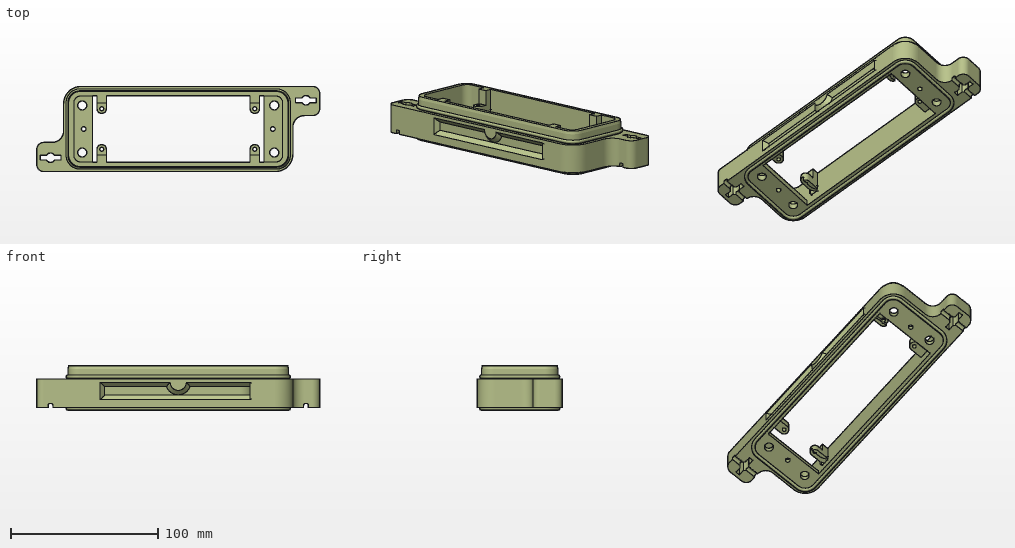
import cadquery as cq
import math

height = 30.25
body_length, body_width, body_radius = 156.0, 58.0, 12.0
body_bottom, body_top = 1.75, 21.25

rim_length, rim_width, rim_radius = 150.0, 52.0, 8.25
rim_taper_inset, rim_taper_height = 0.5, 2.25

bead_radius = 1.25
upper_bead_z = 22.75
lower_bead_z = bead_radius

cavity_length, cavity_width, cavity_radius = 142.0, 45.0, 5.0

ear_end = 96.25
ear_width = 20.0
ear_corner_radius = 5.0
ear_root_radius = 7.5
keyhole_x, keyhole_y = 86.75, 19.5
slot_length, slot_width, keyhole_diameter = 14.0, 3.0, 6.25
notch_width, notch_height, notch_corner_radius = 3.0, 2.75, 1.0

shelf_edge_x = 58.25
shelf_top = 7.0
bolt_x, bolt_y, bolt_diameter = 65.25, 16.0, 6.0
pin_x, pin_diameter = 64.25, 3.0

post_x, post_width, post_depth = 52.0, 6.5, 4.75
post_bottom, boss_top = 12.0, 20.0
boss_hole_reach, boss_hole_diameter = 8.75, 2.5

recess_left, recess_right = -53.0, 48.75
recess_bottom, recess_top = 7.25, 19.0
recess_depth = 3.0
bevel_angle = 45
tab_radius = 5.5

bend_start_x = 42.0
bend_inner_radius = 9.25

wall_y = cavity_width / 2
face_y = -body_width / 2
floor_y = face_y + recess_depth
bend_center_y = floor_y + bend_inner_radius
bend_outer_radius = math.hypot(recess_right - bend_start_x, bend_center_y - face_y)
quadrants = [(-1, -1), (-1, 1), (1, -1), (1, 1)]


def rounded_block(length, width, radius, z_low, z_high, taper_inset=0.0):
    """Rounded block on the frame axis, its top drawn in by taper_inset."""
    rise = z_high - z_low
    outline = cq.Sketch().rect(length, width).vertices().fillet(radius)
    taper = math.degrees(math.atan2(taper_inset, rise))
    return cq.Workplane("XY", origin=(0, 0, z_low)).placeSketch(outline).extrude(rise, taper=taper)


def half_turn(shape):
    """The same shape turned half way round the vertical axis."""
    return shape.rotate((0, 0, 0), (0, 0, 1), 180)


def bead(z):
    """Round bead whose centre line is the rim outline at height z."""
    rim_block = rounded_block(rim_length, rim_width, rim_radius, z, z + bead_radius)
    center_line = rim_block.faces("<Z").wires()
    section = cq.Workplane("YZ", origin=(0, -rim_width / 2, z)).circle(bead_radius)
    return section.sweep(center_line)


def ear():
    """Mounting ear at the -X -Y corner, with a concave root against the body."""
    inner_y = face_y + ear_width
    body_side = -body_length / 2
    inside_x = body_side + body_radius
    root_x = body_side - ear_root_radius
    root_y = inner_y + ear_root_radius
    root_reach = ear_root_radius * math.sqrt(0.5)
    corner_gap = ear_corner_radius * (1 - math.sqrt(0.5))
    return (
        cq.Workplane("XY", origin=(0, 0, body_bottom))
        .moveTo(inside_x, face_y)
        .lineTo(-ear_end + ear_corner_radius, face_y)
        .threePointArc((-ear_end + corner_gap, face_y + corner_gap),
                       (-ear_end, face_y + ear_corner_radius))
        .lineTo(-ear_end, inner_y - ear_corner_radius)
        .threePointArc((-ear_end + corner_gap, inner_y - corner_gap),
                       (-ear_end + ear_corner_radius, inner_y))
        .lineTo(root_x, inner_y)
        .threePointArc((root_x + root_reach, root_y - root_reach), (body_side, root_y))
        .lineTo(inside_x, root_y)
        .close()
        .extrude(body_top - body_bottom)
    )


def ear_cuts():
    """Keyhole through the -X ear and the round-cornered notch across its underside."""
    keyhole = cq.Workplane("XY", origin=(-keyhole_x, -keyhole_y, 0))
    slot = keyhole.rect(slot_length, slot_width).extrude(height)
    eye = keyhole.circle(keyhole_diameter / 2).extrude(height)
    notch = (
        cq.Workplane("XY", origin=(-keyhole_x, face_y / 2, body_bottom))
        .box(notch_width, -face_y, notch_height, centered=(True, True, False))
        .edges("|Y and >Z").fillet(notch_corner_radius)
    )
    return slot.union(eye).union(notch)


def frame():
    """Body with its ears, rim and sealing beads, hollowed by the cavity."""
    shoulder_z = height - rim_taper_height
    body = rounded_block(body_length, body_width, body_radius, body_bottom, body_top)
    rim = rounded_block(rim_length, rim_width, rim_radius, body_top, shoulder_z)
    rim_lead_in = rounded_block(rim_length, rim_width, rim_radius, shoulder_z, height, rim_taper_inset)
    solid = body.union(ear()).union(half_turn(ear())).union(rim).union(rim_lead_in)
    solid = solid.union(bead(upper_bead_z)).union(bead(lower_bead_z))
    return solid.cut(rounded_block(cavity_length, cavity_width, cavity_radius, 0, height))


def shelves():
    """Drilled shelves across both ends of the cavity, level with the body underside."""
    bolts = [(side_x * bolt_x, side_y * bolt_y) for side_x, side_y in quadrants]
    pins = [(-pin_x, 0), (pin_x, 0)]
    floor = rounded_block(cavity_length, cavity_width, cavity_radius, body_bottom, shelf_top)
    opening = cq.Workplane("XY").rect(2 * shelf_edge_x, cavity_width).extrude(height)
    bolt_holes = cq.Workplane("XY").pushPoints(bolts).circle(bolt_diameter / 2).extrude(height)
    pin_holes = cq.Workplane("XY").pushPoints(pins).circle(pin_diameter / 2).extrude(height)
    return floor.cut(opening).cut(bolt_holes).cut(pin_holes)


def post(side_x, side_y):
    """Post on a long wall with a lower, round-ended, drilled boss in front."""
    base = cq.Workplane("XY", origin=(side_x * post_x, side_y * wall_y, post_bottom))
    boss_height = boss_top - post_bottom
    upright = base.center(0, -side_y * post_depth / 2).rect(post_width, post_depth)
    upright = upright.extrude(height - post_bottom)
    boss = base.center(0, -side_y * boss_hole_reach / 2).rect(post_width, boss_hole_reach)
    boss = boss.extrude(boss_height)
    tip = base.center(0, -side_y * boss_hole_reach)
    round_end = tip.circle(post_width / 2).extrude(boss_height)
    hole = tip.circle(boss_hole_diameter / 2).extrude(boss_height)
    return upright.union(boss).union(round_end).cut(hole)


def recess():
    """Recess in the -Y face with bevelled edges around a conical half-round tab."""
    pocket_right = bend_start_x + bend_outer_radius
    center = ((recess_left + pocket_right) / 2, face_y, (recess_bottom + recess_top) / 2)
    pocket = (
        cq.Workplane("XZ", origin=center)
        .rect(pocket_right - recess_left, recess_top - recess_bottom)
        .extrude(-recess_depth, taper=bevel_angle)
    )
    bend_disc = cq.Workplane("XY", origin=(bend_start_x, bend_center_y, 0))
    bend_disc = bend_disc.circle(bend_outer_radius).extrude(height)
    beyond_bend = (
        cq.Workplane("XY", origin=(bend_start_x, face_y, 0))
        .box(bend_outer_radius, recess_depth, height, centered=False)
        .cut(bend_disc)
    )
    tab = (
        cq.Workplane("XZ", origin=(0, face_y, recess_top))
        .circle(tab_radius).extrude(-recess_depth, taper=-bevel_angle)
    )
    return pocket.cut(beyond_bend).cut(tab)


def cable_bend():
    """Passage curving from the right end of the recess floor through the wall, past the post."""
    z_low = recess_bottom + recess_depth
    z_high = recess_top - recess_depth
    exit_y = -wall_y + boss_hole_reach + post_width / 2
    inner_x = bend_start_x + bend_inner_radius
    outer_x = bend_start_x + bend_outer_radius
    inner_reach = bend_inner_radius * math.sqrt(0.5)
    start_angle = math.atan2(face_y - bend_center_y, recess_right - bend_start_x)
    outer_middle = (bend_start_x + bend_outer_radius * math.cos(start_angle / 2),
                    bend_center_y + bend_outer_radius * math.sin(start_angle / 2))
    return (
        cq.Workplane("XY", origin=(0, 0, z_low))
        .moveTo(bend_start_x, floor_y)
        .threePointArc((bend_start_x + inner_reach, bend_center_y - inner_reach), (inner_x, bend_center_y))
        .lineTo(inner_x, exit_y)
        .lineTo(outer_x, exit_y)
        .lineTo(outer_x, bend_center_y)
        .threePointArc(outer_middle, (recess_right, face_y))
        .lineTo(recess_right, floor_y)
        .close()
        .extrude(z_high - z_low)
    )


result = frame().union(shelves())
for side_x, side_y in quadrants:
    result = result.union(post(side_x, side_y))
for cuts in (ear_cuts(), recess(), cable_bend()):
    result = result.cut(cuts).cut(half_turn(cuts))